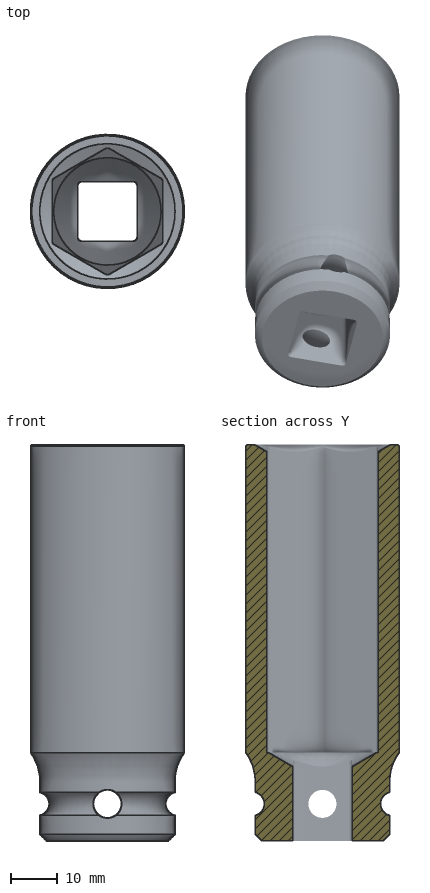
import cadquery as cq
import math


total_height = 85.0
body_radius = 16.5
top_chamfer = 0.3
shoulder_top_z = 19.0
shoulder_bottom_z = 13.0

neck_radius = 14.5
bottom_chamfer = 1.5

groove_z = 8.0
groove_arc_radius = 2.5
groove_floor_radius = 12.5
pin_hole_diameter = 6.0

hex_across_flats = 23.75
hex_corner_radius = 1.0
hex_floor_z = shoulder_top_z
mouth_radius = 14.5
mouth_slope = math.radians(30.0)

drive_square = 12.7
drive_corner_radius = 0.8
lead_in_radius = 11.5
lead_in_slope = math.radians(30.0)


def make_body():
    """Revolve the outside of the socket; the shoulder arc leaves the neck tangentially."""
    rise = shoulder_top_z - shoulder_bottom_z
    flare = body_radius - neck_radius
    shoulder_arc_radius = (rise**2 + flare**2) / (2 * flare)
    half_sweep = math.asin(rise / shoulder_arc_radius) / 2
    shoulder_mid = (
        neck_radius + shoulder_arc_radius * (1 - math.cos(half_sweep)),
        shoulder_bottom_z + shoulder_arc_radius * math.sin(half_sweep),
    )
    profile = (
        cq.Workplane("XZ")
        .lineTo(neck_radius - bottom_chamfer, 0)
        .lineTo(neck_radius, bottom_chamfer)
        .lineTo(neck_radius, shoulder_bottom_z)
        .threePointArc(shoulder_mid, (body_radius, shoulder_top_z))
        .lineTo(body_radius, total_height - top_chamfer)
        .lineTo(body_radius - top_chamfer, total_height)
        .lineTo(0, total_height)
        .close()
    )
    return profile.revolve()


def make_groove():
    """Ring of circular cross-section that cuts the groove around the neck."""
    ring_radius = groove_floor_radius + groove_arc_radius
    section = cq.Workplane("XZ").center(ring_radius, groove_z).circle(groove_arc_radius)
    return section.revolve(360, (-ring_radius, 0), (-ring_radius, 1))


def make_pin_hole():
    """Cross hole along Y, through both walls of the neck."""
    return (
        cq.Workplane("XZ")
        .center(0, groove_z)
        .circle(pin_hole_diameter / 2)
        .extrude(neck_radius, both=True)
    )


def make_cone(base_radius, base_z, slope):
    """Cone pointing down from base_z, its side inclined by slope from the horizontal."""
    depth = base_radius * math.tan(slope)
    return (
        cq.Workplane("XZ")
        .moveTo(0, base_z)
        .lineTo(base_radius, base_z)
        .lineTo(0, base_z - depth)
        .close()
        .revolve()
    )


def make_hex_opening():
    """Hexagonal pocket with rounded corners, open at the top."""
    across_corners = hex_across_flats / math.cos(math.pi / 6)
    return (
        cq.Workplane("XY")
        .workplane(offset=hex_floor_z)
        .transformed(rotate=(0, 0, 90))
        .polygon(6, across_corners)
        .extrude(total_height - hex_floor_z)
        .edges("|Z")
        .fillet(hex_corner_radius)
    )


def make_drive_square():
    """Square drive hole from the bottom face up to the hex floor."""
    return (
        cq.Workplane("XY")
        .rect(drive_square, drive_square)
        .extrude(hex_floor_z)
        .edges("|Z")
        .fillet(drive_corner_radius)
    )


result = (
    make_body()
    .cut(make_groove())
    .cut(make_pin_hole())
    .cut(make_hex_opening())
    .cut(make_cone(mouth_radius, total_height, mouth_slope))
    .cut(make_cone(lead_in_radius, hex_floor_z, lead_in_slope))
    .cut(make_drive_square())
)